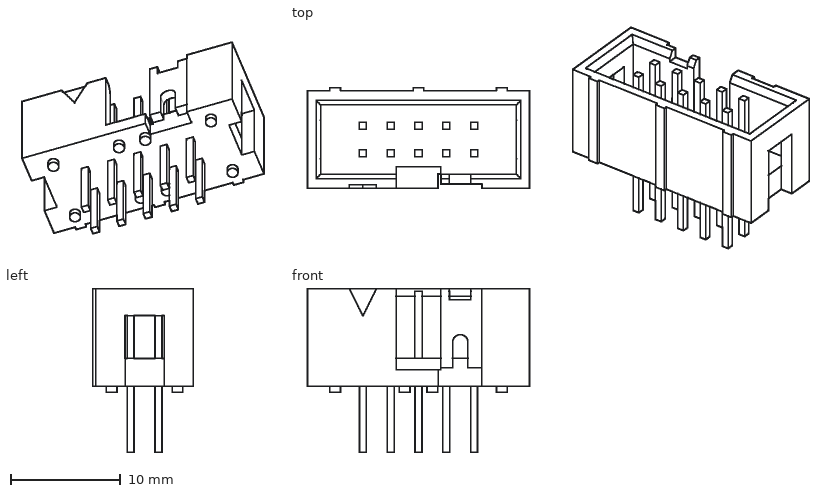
import cadquery as cq


length = 20.3
depth = 8.91
height = 8.91
floor_top = 2.54
end_wall = 1.22
side_wall = 1.3
lead_in_width = 0.4
lead_in_height = 0.7

pitch = 2.54
columns = 5
rows = 2
pin_size = 0.65
pin_below = 6.03
pin_recess = 0.25
pin_top = height - pin_recess

peg_diameter = 1.0
peg_height = 0.57
peg_row_y = 3.0
outer_x = 3 * pitch
peg_columns = (-outer_x, -pitch / 2, pitch / 2, outer_x)
rib_width = 1.0
rib_thickness = 0.28

window_width = 3.55
window_lintel = 2.45
window_top = height - window_lintel

key_half_width = 2.05
key_depth = 1.95
key_bottom = 1.52

latch_right = 5.79
latch_setback = 0.39
latch_bottom = 1.7
undercut_left = 1.79
arch_x = 3.82
arch_width = 1.4
arch_top = 4.7
notch_left = 2.8
notch_right = 4.77
notch_depth = 1.0

mark_x = -(columns - 1) / 2 * pitch
mark_half_width = 1.24
mark_height = 2.5
mark_depth = 0.3

front_y = -depth / 2
back_y = depth / 2
inner_front_y = front_y + side_wall


def block(x0, x1, y0, y1, z0, z1):
    """Box between two opposite corners."""
    return cq.Workplane("XY").box(x1 - x0, y1 - y0, z1 - z0, centered=False).translate((x0, y0, z0))


def front_prism(profile, y0, y1):
    """Extrude an XZ profile, drawn in the Y = 0 plane, from y0 back to y1."""
    return profile.extrude(-(y1 - y0)).translate((0, y0, 0))


def shell():
    """Open-topped box with a tapered lead-in around its mouth."""
    inner_length = length - 2 * end_wall
    inner_depth = depth - 2 * side_wall
    cavity = (
        cq.Workplane("XY")
        .workplane(offset=floor_top)
        .rect(inner_length, inner_depth)
        .extrude(height - floor_top)
    )
    lead_in = (
        cq.Workplane("XY")
        .workplane(offset=height - lead_in_height)
        .rect(inner_length, inner_depth)
        .workplane(offset=lead_in_height)
        .rect(inner_length + 2 * lead_in_width, inner_depth + 2 * lead_in_width)
        .loft(ruled=True)
    )
    box = block(-length / 2, length / 2, front_y, back_y, 0, height)
    return box.cut(cavity).cut(lead_in)


def end_windows():
    """Slots through both end walls, stopping at the end faces of the floor."""
    half_width = window_width / 2
    left = block(-length / 2, -length / 2 + end_wall, -half_width, half_width, 0, window_top)
    return left.union(left.mirror("YZ"))


def key_slot():
    """Opening through the front wall that also steps down into the floor."""
    return block(-key_half_width, key_half_width, front_y, front_y + key_depth, key_bottom, height)


def latch_cuts():
    """Material removed to leave the latch tongue with its notch and arch."""
    setback = block(key_half_width, latch_right, front_y, front_y + latch_setback, 0, height)
    undercut = block(undercut_left, latch_right, front_y, inner_front_y, 0, latch_bottom)
    notch = block(notch_left, notch_right, front_y, inner_front_y, height - notch_depth, height)
    radius = arch_width / 2
    arch_profile = (
        cq.Workplane("XZ")
        .moveTo(arch_x - radius, 0)
        .lineTo(arch_x - radius, arch_top - radius)
        .threePointArc((arch_x, arch_top), (arch_x + radius, arch_top - radius))
        .lineTo(arch_x + radius, 0)
        .close()
    )
    arch = front_prism(arch_profile, front_y, inner_front_y)
    return setback.union(undercut).union(notch).union(arch)


def pin_one_mark():
    """Shallow triangle pointing down from the top of the front wall."""
    profile = cq.Workplane("XZ").polyline([
        (mark_x - mark_half_width, height),
        (mark_x + mark_half_width, height),
        (mark_x, height - mark_height),
    ]).close()
    return front_prism(profile, front_y, front_y + mark_depth)


def back_ribs():
    """Full-height locating ribs on the back wall."""
    return (
        cq.Workplane("XY")
        .pushPoints([(x, back_y) for x in (-outer_x, 0, outer_x)])
        .rect(rib_width, 2 * rib_thickness)
        .extrude(height)
    )


def pegs():
    """Two rows of round standoffs under the housing."""
    return (
        cq.Workplane("XY")
        .pushPoints([(x, y) for x in peg_columns for y in (-peg_row_y, peg_row_y)])
        .circle(peg_diameter / 2)
        .extrude(-peg_height)
    )


def pins():
    """Square pins passing through the floor."""
    return (
        cq.Workplane("XY")
        .workplane(offset=-pin_below)
        .rarray(pitch, pitch, columns, rows)
        .rect(pin_size, pin_size)
        .extrude(pin_below + pin_top)
    )


housing = shell().cut(end_windows()).cut(key_slot()).cut(latch_cuts()).cut(pin_one_mark())
result = housing.union(back_ribs()).union(pegs()).union(pins())